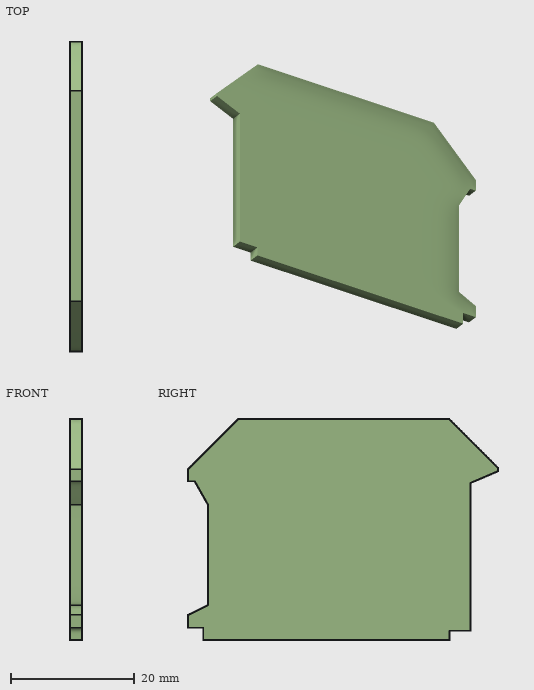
import cadquery as cq

thickness = 2.0
length = 50.31
height = 35.9

back_slope = 7.95
nose_tip_height = 0.55
nose_overhang = 4.45
nose_depth = 10.4
back_step_length = 3.4
back_step_height = 1.5

front_slope = 8.15
catch_face_height = 2.0
catch_ledge = 1.1
catch_depth = 13.95
front_overhang = 3.25
foot_root_height = 5.7
foot_tip_height = 4.1
foot_base_height = 2.0
foot_undercut = 2.45

back_tip = length / 2
front_tip = -length / 2
top = height / 2
bottom = -height / 2
back_edge = back_tip - nose_overhang
front_edge = front_tip + front_overhang
catch_base = top - front_slope - catch_face_height


def back_end_points():
    """Outline (Y, Z) of the back end, from the top edge to the bottom edge."""
    step_y = back_edge - back_step_length
    step_z = bottom + back_step_height
    nose_top = top - back_slope
    return [
        (back_tip - back_slope, top),
        (back_tip, nose_top),
        (back_tip, nose_top - nose_tip_height),
        (back_edge, top - nose_depth),
        (back_edge, step_z),
        (step_y, step_z),
        (step_y, bottom),
    ]


def front_end_points():
    """Outline (Y, Z) of the front end, from the bottom edge to the top edge."""
    undercut_y = front_tip + foot_undercut
    foot_base = bottom + foot_base_height
    return [
        (undercut_y, bottom),
        (undercut_y, foot_base),
        (front_tip, foot_base),
        (front_tip, bottom + foot_tip_height),
        (front_edge, bottom + foot_root_height),
        (front_edge, top - catch_depth),
        (front_tip + catch_ledge, catch_base),
        (front_tip, catch_base),
        (front_tip, top - front_slope),
        (front_tip + front_slope, top),
    ]


result = (
    cq.Workplane("YZ")
    .polyline(back_end_points() + front_end_points())
    .close()
    .extrude(thickness / 2, both=True)
)